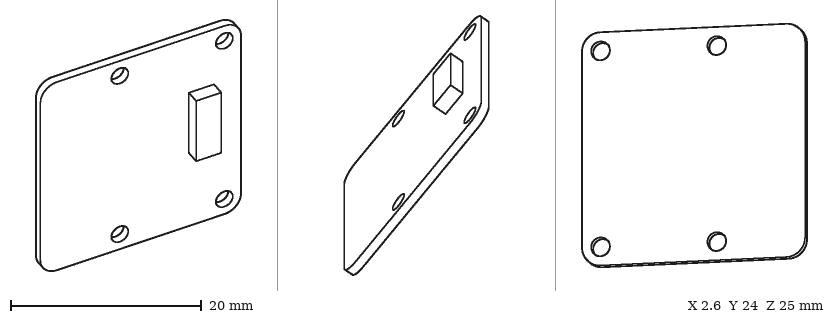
import cadquery as cq

plate_thickness = 1.0
plate_width = 24.0
plate_height = 25.0
corner_radius = 2.0

hole_diameter = 2.0
hole_inset = 2.0
hole_spacing_y = 12.5

block_depth = 1.6
block_width = 3.0
block_height = 8.0
block_center_y = 7.25
block_center_z = 1.2


def make_plate():
    return (
        cq.Workplane("XY")
        .box(plate_thickness, plate_width, plate_height, centered=(False, True, True))
        .edges("|X")
        .fillet(corner_radius)
    )


def make_holes():
    outer_y = plate_width / 2 - hole_inset
    hole_z = plate_height / 2 - hole_inset
    centers = [(y, z) for y in (outer_y, outer_y - hole_spacing_y) for z in (hole_z, -hole_z)]
    return cq.Workplane("YZ").pushPoints(centers).circle(hole_diameter / 2).extrude(plate_thickness)


def make_block():
    return (
        cq.Workplane("YZ", origin=(plate_thickness, 0, 0))
        .center(block_center_y, block_center_z)
        .rect(block_width, block_height)
        .extrude(block_depth)
    )


result = make_plate().cut(make_holes()).union(make_block())